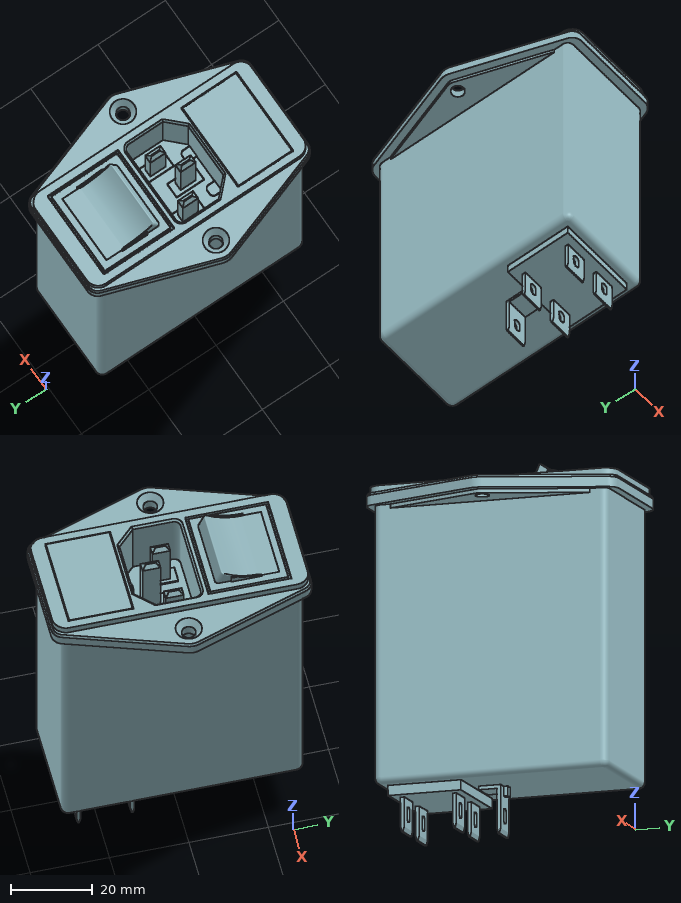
import cadquery as cq
import math


body_width = 28.8
body_length = 61.0
body_corner_radius = 1.9
body_bottom_radius = 1.5

plate_bottom = 68.8
plate_thickness = 1.0
plate_inset = 2.1
plate_length = 51.8
flange_thickness = 3.2
flange_half_width = 25.2
flange_half_length = 32.7
flange_side_angle = 18.8
flange_corner_radius = 3.0
flange_tip_radius = 4.5
flange_bevel_height = 0.6
flange_bevel_width = 0.4
flange_bottom = plate_bottom + plate_thickness
flange_top = flange_bottom + flange_thickness

screw_x = 20.1
screw_diameter = 3.4
countersink_diameter = 6.5
countersink_angle = 90

lid_thickness = 1.8
lid_length = 64.4
lid_corner_radius = 3.4
lid_top = flange_top + lid_thickness

frame_width = 24.4
frame_length = 20.9
frame_y = 17.4
frame_gap = 0.6
drawer_width = 24.6
drawer_length = 16.4
drawer_y = -20.2
drawer_gap = 0.2
groove_depth = 0.9

rocker_width = 19.1
rocker_back_y = 25.3
rocker_bend_y = 20.2
rocker_crest_y = 10.9
rocker_foot_y = 9.3
rocker_flat_height = 0.3
rocker_crest_height = 3.6
rocker_corner_radius = 0.8
rocker_crest_radius = 0.3
rocker_root_depth = 0.9
cheek_width = 19.7
cheek_length = 7.6
cheek_y = 17.0
cheek_height = 1.5
cheek_rise = 0.2

socket_width = 24.1
socket_top_y = 5.3
socket_bottom_y = -10.8
socket_chamfer = 4.4
socket_corner_radius = 1.6
socket_rim_bevel = 0.5
socket_depth = 15.4
socket_floor = lid_top - socket_depth

pin_width = 2.3
pin_length = 4.5
pin_bevel = 1.0
line_pin_x = 7.1
line_pin_y = -0.6
earth_pin_y = -4.8
earth_pin_rise = 0.5
line_pin_setback = 3.35
pad_width = 4.2
pad_length = 8.1
pad_height = 0.45
key_width = 3.2
key_length = 2.9
key_corner_radius = 1.1
key_x = 5.4

block_width = 22.7
block_length = 19.0
block_height = 2.5
block_y = -18.2
terminal_width = 6.15
terminal_thickness = 1.0
terminal_tip_height = 1.3
terminal_tip_bevel = 0.4
terminal_hole_width = 1.9
terminal_hole_length = 3.8
terminal_hole_rise = 4.9
load_terminal_x = 5.4
load_terminal_pitch = 13.6
load_terminal_length = 11.2
earth_terminal_y = -1.8
earth_terminal_length = 12.2
earth_foot_end_y = -7.1
earth_foot_thickness = 0.9
earth_stub_width = 1.8
earth_stub_length = 1.0
earth_stub_height = 2.4


def box(width, length, height, x, y, bottom):
    """Block centred on (x, y) that stands on the given height."""
    return cq.Workplane("XY", origin=(x, y, bottom)).rect(width, length).extrude(height)


def make_body():
    body = box(body_width, body_length, flange_bottom, 0, 0, 0)
    return body.edges("|Z").fillet(body_corner_radius).faces("<Z").edges().fillet(body_bottom_radius)


def hexagon(bottom, height):
    """Six-sided flange outline with rounded corners."""
    slant = math.radians(flange_side_angle)
    tip_x = flange_half_width + flange_tip_radius * (1 / math.cos(slant) - 1)
    corner_x = tip_x - flange_half_length * math.tan(slant)
    points = [
        (tip_x, 0),
        (corner_x, flange_half_length),
        (-corner_x, flange_half_length),
        (-tip_x, 0),
        (-corner_x, -flange_half_length),
        (corner_x, -flange_half_length),
    ]
    solid = cq.Workplane("XY", origin=(0, 0, bottom)).polyline(points).close().extrude(height)
    solid = solid.edges("|Z and (<X or >X)").fillet(flange_tip_radius)
    return solid.edges("|Z and (<Y or >Y)").fillet(flange_corner_radius)


def make_flange():
    flange = hexagon(flange_bottom, flange_thickness)
    flange = flange.faces(">Z").chamfer(flange_bevel_height, flange_bevel_width)
    plate_outline = hexagon(plate_bottom, plate_thickness).faces("<Z").wires().toPending()
    plate = plate_outline.offset2D(-plate_inset).extrude(plate_thickness, combine=False)
    plate = plate.intersect(box(2 * flange_half_width, plate_length, plate_thickness, 0, 0, plate_bottom))
    return flange.union(plate)


def make_lid():
    lid = box(body_width, lid_length, lid_thickness, 0, 0, flange_top)
    return lid.edges("|Z").fillet(lid_corner_radius)


def cut_screw_holes(part):
    plane = cq.Workplane("XY", origin=(0, 0, flange_top)).pushPoints([(-screw_x, 0), (screw_x, 0)])
    hole = plane.circle(screw_diameter / 2).extrude(-flange_thickness - plate_thickness)
    sink_depth = (countersink_diameter - screw_diameter) / 2 / math.tan(math.radians(countersink_angle / 2))
    sink = plane.circle(countersink_diameter / 2).extrude(-sink_depth, taper=countersink_angle / 2)
    return part.cut(hole).cut(sink)


def groove(width, length, gap, y):
    """Rectangular ring cut into the lid, measured over its outer edge."""
    floor = lid_top - groove_depth
    core = box(width - 2 * gap, length - 2 * gap, groove_depth, 0, y, floor)
    return box(width, length, groove_depth, 0, y, floor).cut(core)


def rocker_solid(width):
    """Rocker profile: flat pressed half, then a concave curve up to the crest."""
    flat_z = lid_top + rocker_flat_height
    crest_z = lid_top + rocker_crest_height
    root_z = lid_top - rocker_root_depth
    return (
        cq.Workplane("YZ", origin=(-width / 2, 0, 0))
        .moveTo(rocker_back_y, root_z)
        .lineTo(rocker_back_y, flat_z)
        .lineTo(rocker_bend_y, flat_z)
        .tangentArcPoint((rocker_crest_y, crest_z), relative=False)
        .lineTo(rocker_foot_y, lid_top)
        .lineTo(rocker_foot_y, root_z)
        .close()
        .extrude(width)
    )


def make_rocker():
    rocker = rocker_solid(rocker_width)
    margin = 0.1
    crest_corners = cq.selectors.BoxSelector(
        (-rocker_width, rocker_foot_y - margin, lid_top + margin),
        (rocker_width, rocker_crest_y, lid_top + rocker_crest_height),
    )
    rocker = rocker.edges(crest_corners).edges("not |X").fillet(rocker_corner_radius)
    rocker = rocker.edges(">Z").fillet(rocker_crest_radius)
    cheek_zone = box(cheek_width, cheek_length, cheek_height, 0, cheek_y, lid_top)
    cheek_zone = cheek_zone.cut(box(rocker_width, cheek_length, cheek_height, 0, cheek_y, lid_top))
    cheeks = rocker_solid(cheek_width).translate((0, 0, cheek_rise)).intersect(cheek_zone)
    return rocker.union(cheeks)


def make_socket_cavity():
    half = socket_width / 2
    points = [
        (-half, socket_top_y),
        (half, socket_top_y),
        (half, socket_bottom_y + socket_chamfer),
        (half - socket_chamfer, socket_bottom_y),
        (socket_chamfer - half, socket_bottom_y),
        (-half, socket_bottom_y + socket_chamfer),
    ]
    cavity = cq.Workplane("XY", origin=(0, 0, socket_floor)).polyline(points).close().extrude(socket_depth)
    cavity = cavity.edges("|Z and >Y").fillet(socket_corner_radius)
    rim = (
        cavity.faces("<Z").wires().toPending()
        .extrude(socket_rim_bevel, combine=False, taper=-45)
        .translate((0, 0, socket_depth - socket_rim_bevel))
    )
    return cavity.union(rim)


def pin(x, y, tip):
    blade = box(pin_width, pin_length, tip - socket_floor, x, y, socket_floor)
    blade = blade.faces(">Z").chamfer(pin_bevel)
    return blade.union(box(pad_width, pad_length, pad_height, x, y, socket_floor))


def key(x):
    """Low tongue on the socket floor against the -Y wall."""
    tongue = box(key_width, key_length, pad_height, x, socket_bottom_y + key_length / 2, socket_floor)
    return tongue.edges("|Z and >Y").fillet(key_corner_radius)


def add_socket_contacts(part):
    earth_tip = lid_top + earth_pin_rise
    part = part.union(pin(0, earth_pin_y, earth_tip))
    for side in (-1, 1):
        part = part.union(pin(side * line_pin_x, line_pin_y, earth_tip - line_pin_setback))
        part = part.union(key(side * key_x))
    return part


def terminal(x, y, length):
    """Flat solder tab hanging from the housing, with a sharpened tip and a slotted hole."""
    tab = box(terminal_width, terminal_thickness, length, x, y, -length)
    tab = tab.faces("<Z").edges("|X").chamfer(terminal_tip_height, terminal_tip_bevel)
    hole = (
        cq.Workplane("XZ", origin=(x, y, terminal_hole_rise - length))
        .slot2D(terminal_hole_length, terminal_hole_width, 90)
        .extrude(terminal_thickness, both=True)
    )
    return tab.cut(hole)


def add_terminals(part):
    part = part.union(box(block_width, block_length, block_height, 0, block_y, -block_height))
    for x in (-load_terminal_x, load_terminal_x):
        for y in (block_y - load_terminal_pitch / 2, block_y + load_terminal_pitch / 2):
            part = part.union(terminal(x, y, load_terminal_length))
    foot_length = earth_terminal_y - earth_foot_end_y
    foot_y = earth_terminal_y - foot_length / 2
    foot = box(terminal_width, foot_length, earth_foot_thickness, 0, foot_y, -earth_foot_thickness)
    stub_y = earth_terminal_y + (terminal_thickness + earth_stub_length) / 2
    stub = box(earth_stub_width, earth_stub_length, earth_stub_height, 0, stub_y, -earth_stub_height)
    return part.union(terminal(0, earth_terminal_y, earth_terminal_length)).union(foot).union(stub)


result = make_body().union(make_flange()).union(make_lid())
result = cut_screw_holes(result)
result = result.cut(groove(frame_width, frame_length, frame_gap, frame_y))
result = result.cut(groove(drawer_width, drawer_length, drawer_gap, drawer_y))
result = result.cut(make_socket_cavity())
result = add_socket_contacts(result)
result = result.union(make_rocker())
result = add_terminals(result)